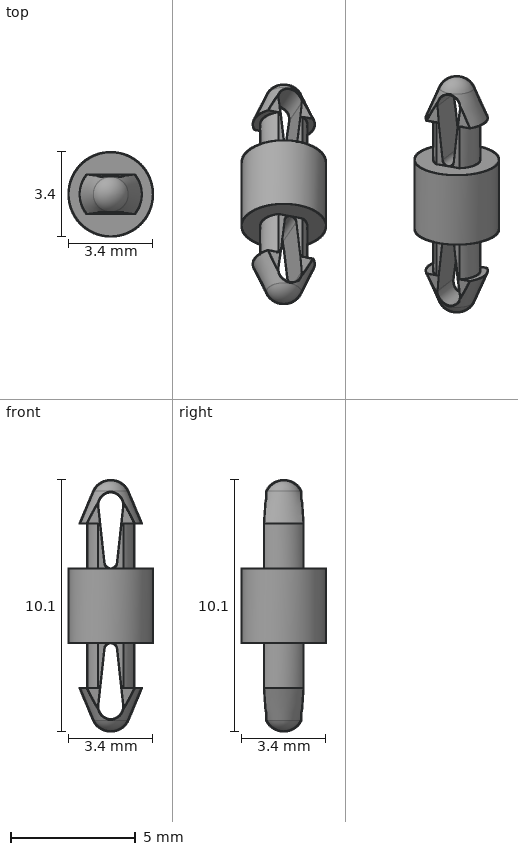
import cadquery as cq
import math

body_diameter = 3.4
body_height = 3.0
overall_height = 10.1

stem_radius = 0.95
pin_thickness = 1.6
flat_lean_angle = 4.0
barb_radius = 1.25
barb_base_height = 1.8
tip_radius = 0.7
dome_height = 0.44

slot_root_radius = 0.25
slot_head_radius = 0.5
slot_length = 3.05

body_top = body_height / 2
pin_top = overall_height / 2
barb_base = body_top + barb_base_height
dome_base = pin_top - dome_height


def make_slot():
    """Slot cutter whose outline is two circles joined by their common tangents."""
    root_center = body_top + slot_root_radius
    head_center = body_top + slot_length - slot_head_radius
    taper = math.asin((slot_head_radius - slot_root_radius) / (head_center - root_center))

    def tangent_point(center, radius):
        return radius * math.cos(taper), center - radius * math.sin(taper)

    root_x, root_z = tangent_point(root_center, slot_root_radius)
    head_x, head_z = tangent_point(head_center, slot_head_radius)
    return (
        cq.Workplane("XZ")
        .moveTo(root_x, root_z)
        .lineTo(head_x, head_z)
        .threePointArc((0, head_center + slot_head_radius), (-head_x, head_z))
        .lineTo(-root_x, root_z)
        .threePointArc((0, root_center - slot_root_radius), (root_x, root_z))
        .close()
        .extrude(body_diameter / 2, both=True)
    )


def make_flats():
    """Block bounding the pin in Y: parallel along the stem, tapered above the barb base."""
    half_thickness = pin_thickness / 2
    half_top = half_thickness - (pin_top - barb_base) * math.tan(math.radians(flat_lean_angle))
    return (
        cq.Workplane("YZ")
        .polyline([
            (-half_thickness, 0),
            (half_thickness, 0),
            (half_thickness, barb_base),
            (half_top, pin_top),
            (-half_top, pin_top),
            (-half_thickness, barb_base),
        ])
        .close()
        .extrude(body_diameter / 2, both=True)
    )


def make_pin():
    """Upper snap pin, starting at the body mid-plane."""
    dome_radius = (tip_radius**2 + dome_height**2) / (2 * dome_height)
    dome_center = pin_top - dome_radius
    half_angle = math.atan2(tip_radius, dome_base - dome_center) / 2
    dome_middle = (
        dome_radius * math.sin(half_angle),
        dome_center + dome_radius * math.cos(half_angle),
    )
    revolved = (
        cq.Workplane("XZ")
        .moveTo(0, 0)
        .lineTo(stem_radius, 0)
        .lineTo(stem_radius, barb_base)
        .lineTo(barb_radius, barb_base)
        .lineTo(tip_radius, dome_base)
        .threePointArc(dome_middle, (0, pin_top))
        .close()
        .revolve(360, (0, 0), (0, 1))
    )
    return revolved.intersect(make_flats()).cut(make_slot())


body = cq.Workplane("XY").cylinder(body_height, body_diameter / 2)
upper_pin = make_pin()
lower_pin = upper_pin.mirror("XY")
result = body.union(upper_pin).union(lower_pin)